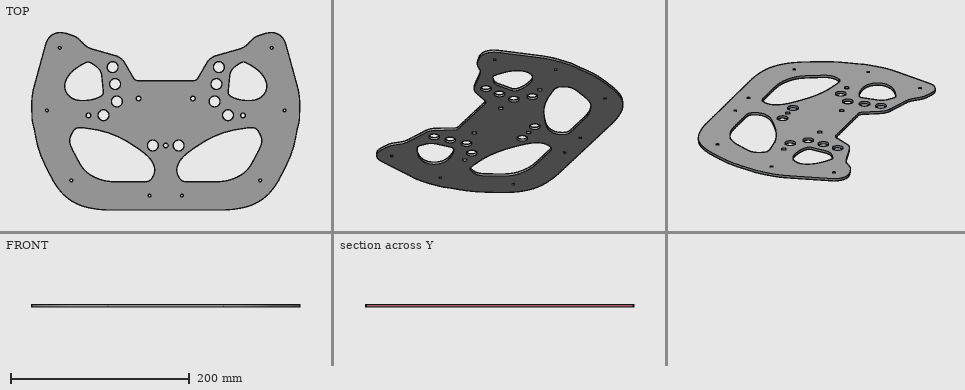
import cadquery as cq

thickness = 3.0
half_width = 150.2
half_depth = 99.5
rear_edge_y = 45.7

screw_diameter = 3.0
mount_diameter = 5.0
button_diameter = 12.0

rim_screws = [(118.5, 82.3), (133.0, 12.3), (105.7, -66.0), (18.0, -83.2)]
mount_holes = [(30.3, 25.5), (86.5, 6.5)]
center_mount_y = -27.0
button_holes = [(59.5, 60.7), (56.8, 41.8), (54.7, 22.2), (69.7, 7.0), (14.5, center_mount_y)]


def half_plate():
    """Right half of the plate, closed along the symmetry plane."""
    return (
        cq.Workplane("XY")
        .moveTo(0, -half_depth)
        .lineTo(64.5, -half_depth)
        .spline(
            [
                (78.7, -98.2), (96.7, -93.7), (116.2, -80.2),
                (133.5, -53.0), (144.0, -25.8), (147.8, -6.5), (half_width, 15.5),
            ],
            tangents=[(1, 0), (0, 1)],
            includeCurrent=True,
        )
        .threePointArc((150.0, 25.8), (148.5, 35.7))
        .lineTo(135.5, 83.0)
        .spline(
            [(131.3, 93.0), (120.0, half_depth), (103.3, 95.8), (93.0, 88.0)],
            tangents=[(-0.26, 1), (-1, -1)],
            includeCurrent=True,
        )
        .threePointArc((89.0, 84.0), (83.5, 81.5))
        .lineTo(56.2, 73.5)
        .threePointArc((50.8, 71.0), (46.5, 66.7))
        .lineTo(36.0, 48.7)
        .threePointArc((34.2, 46.5), (31.5, rear_edge_y))
        .lineTo(0, rear_edge_y)
        .close()
        .extrude(thickness)
    )


def thumb_window():
    """Rounded triangular opening below the horn."""
    return (
        cq.Workplane("XY")
        .moveTo(71.8, 51.0)
        .lineTo(70.0, 33.0)
        .threePointArc((70.5, 30.3), (72.7, 28.2))
        .spline(
            [(90.0, 23.5), (105.0, 26.0), (112.5, 36.0), (106.3, 54.0), (89.8, 65.5), (77.8, 61.3)],
            tangents=[(1, -0.6), (-1, -0.8)],
            includeCurrent=True,
        )
        .threePointArc((73.5, 56.8), (71.8, 51.0))
        .close()
        .extrude(thickness)
    )


def grip_window():
    """Large hand opening with a straight front edge."""
    front_y = -67.5
    return (
        cq.Workplane("XY")
        .moveTo(24.3, front_y)
        .lineTo(55.5, front_y)
        .spline(
            [(75.5, -64.3), (89.0, -56.5), (102.7, -34.8), (107.2, -19.5), (102.5, -9.5), (92.8, -7.2)],
            tangents=[(1, 0), (-1, 0)],
            includeCurrent=True,
        )
        .spline(
            [(58.5, -15.0), (29.0, -31.8), (16.2, -44.0), (12.5, -56.2), (16.2, -64.5), (24.3, front_y)],
            tangents=[(-1, -0.1), (1, 0)],
            includeCurrent=True,
        )
        .close()
        .extrude(thickness)
    )


def holes(points, diameter):
    """Through-hole cutters at the given points."""
    return cq.Workplane("XY").pushPoints(points).circle(diameter / 2).extrude(thickness)


half = half_plate().cut(thumb_window()).cut(grip_window())
half = half.cut(holes(rim_screws, screw_diameter))
half = half.cut(holes(mount_holes, mount_diameter))
half = half.cut(holes(button_holes, button_diameter))

plate = half.union(half.mirror("YZ"), clean=True)
result = plate.cut(holes([(0, center_mount_y)], mount_diameter))